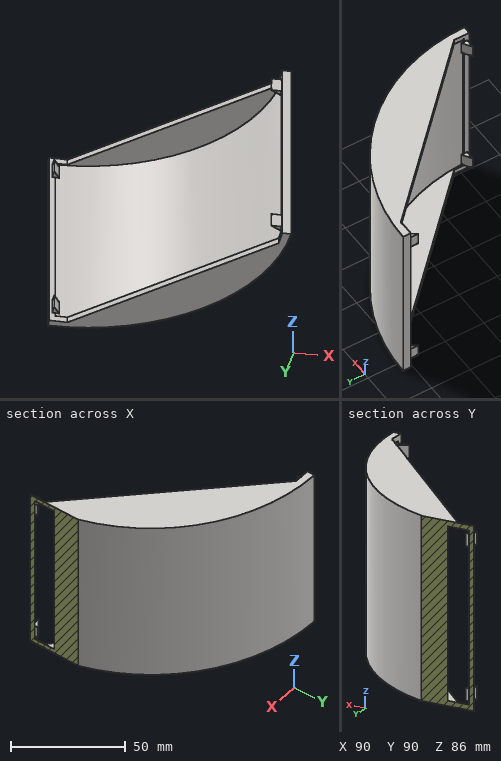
import cadquery as cq
import math

outer_radius = 90.0
height = 86.0
rim_thickness = 4.05
rim_length = 8.0
wall_thickness = 3.0
cap_thickness = 2.7
cavity_start = 2.7

barb_offset = 1.2
barb_width = 3.15
barb_reach = 4.7
barb_height = 6.1
barb_inset = 4.1

rim_face = outer_radius - rim_thickness
cavity_radius = outer_radius - wall_thickness
cavity_depth = math.sqrt(cavity_radius**2 - cavity_start**2)
mid_angle = math.cos(math.radians(45))


def cover_body():
    """Full-height circular segment with a flat rim at each end of its chord."""
    return (
        cq.Workplane("XY")
        .moveTo(0, outer_radius)
        .threePointArc((outer_radius * mid_angle, outer_radius * mid_angle), (outer_radius, 0))
        .lineTo(rim_face, 0)
        .lineTo(rim_face, rim_length)
        .lineTo(rim_length, rim_face)
        .lineTo(0, rim_face)
        .close()
        .extrude(height)
    )


def cavity():
    """Space between the end plates, bounded by a arc concentric with the outside."""
    return (
        cq.Workplane("XY", origin=(0, 0, cap_thickness))
        .moveTo(cavity_start, cavity_depth)
        .threePointArc(
            (cavity_radius * mid_angle, cavity_radius * mid_angle),
            (cavity_depth, cavity_start),
        )
        .lineTo(cavity_start, cavity_start)
        .close()
        .extrude(height - 2 * cap_thickness)
    )


def barb(bottom):
    """Triangular catch standing on the rim face that looks toward -Y."""
    return (
        cq.Workplane("XY", origin=(0, 0, bottom))
        .polyline([
            (barb_offset, rim_face),
            (barb_offset, rim_face - barb_reach),
            (barb_offset + barb_width, rim_face),
        ])
        .close()
        .extrude(barb_height)
    )


def swap_rims(shape):
    """Mirror a shape about the plane X = Y, from one rim to the other."""
    return shape.mirror("XZ").rotate((0, 0, 0), (0, 0, 1), 90)


result = cover_body().cut(cavity())
for barb_bottom in (barb_inset, height - barb_inset - barb_height):
    catch = barb(barb_bottom)
    result = result.union(catch).union(swap_rims(catch))